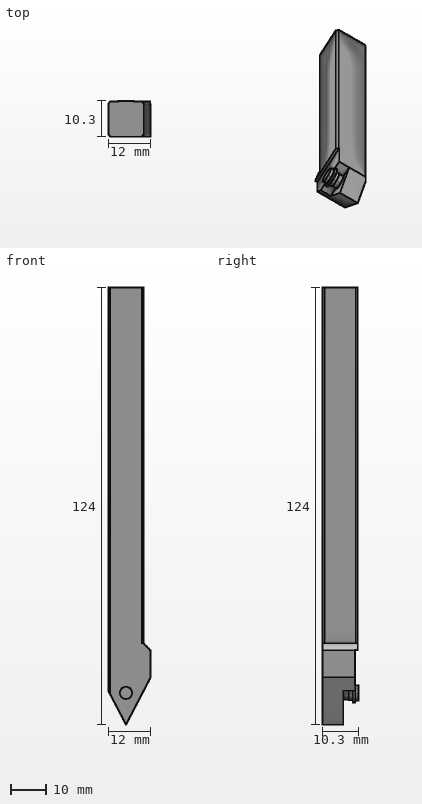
import cadquery as cq
import math

total_length = 124.0
shank_width = 10.0
edge_chamfer = 0.6
nose_width = 12.0
tip_angle = 55.0
shoulder_bottom = 21.1

recess_floor_y = 9.3
recess_top = 21.2
seat_floor_y = 6.0

screw_height = 9.0
screw_end_radius = 1.7
screw_shank_radius = 2.0
screw_neck_radius = 2.1
screw_flange_radius = 2.9
screw_head_radius = 2.2
screw_neck_start_y = 7.4
screw_flange_start_y = 8.5
screw_top_y = 10.3

tip_x = shank_width / 2
flank_slope = 1 / math.tan(math.radians(tip_angle / 2))
left_flank_top = tip_x * flank_slope
right_flank_top = (nose_width - tip_x) * flank_slope
shoulder_top = shoulder_bottom + nose_width - shank_width


def box_between(low, high):
    """Box spanning two opposite corners."""
    size = [end - start for start, end in zip(low, high)]
    return cq.Workplane("XY").box(*size, centered=False).translate(low)


def cylinder_along_y(radius, start_y, end_y):
    """Coaxial cylinder on the screw axis."""
    return cq.Workplane(
        cq.Solid.makeCylinder(
            radius,
            end_y - start_y,
            cq.Vector(tip_x, start_y, screw_height),
            cq.Vector(0, 1, 0),
        )
    )


def make_screw():
    """Stepped clamping screw, flush with the front face."""
    end = cylinder_along_y(screw_end_radius, 0, seat_floor_y)
    shank = cylinder_along_y(screw_shank_radius, seat_floor_y, screw_neck_start_y)
    neck = cylinder_along_y(screw_neck_radius, screw_neck_start_y, screw_flange_start_y)
    flange = cylinder_along_y(screw_flange_radius, screw_flange_start_y, recess_floor_y)
    head = cylinder_along_y(screw_head_radius, recess_floor_y, screw_top_y)
    return end.union(shank).union(neck).union(flange).union(head)


def make_shank_and_nose():
    """Square bar with chamfered long edges and a wider pointed nose."""
    bar = box_between((0, 0, 0), (shank_width, shank_width, total_length))
    bar = bar.edges("|Z").chamfer(edge_chamfer)

    nose = (
        cq.Workplane("XZ")
        .moveTo(tip_x, 0)
        .lineTo(nose_width, 0)
        .lineTo(nose_width, shoulder_bottom)
        .lineTo(shank_width, shoulder_top)
        .lineTo(tip_x, shoulder_top)
        .close()
        .extrude(-shank_width)
    )

    outline = (
        cq.Workplane("XZ")
        .moveTo(tip_x, 0)
        .lineTo(nose_width, right_flank_top)
        .lineTo(nose_width, total_length)
        .lineTo(0, total_length)
        .lineTo(0, left_flank_top)
        .close()
        .extrude(-shank_width)
    )
    return bar.union(nose).intersect(outline)


def make_holder(screw):
    """Bar with the shallow back recess, the tip seat and the screw hole."""
    back_recess = box_between((0, recess_floor_y, 0), (nose_width, shank_width, recess_top))
    tip_seat = box_between((0, seat_floor_y, 0), (nose_width, shank_width, left_flank_top))
    return make_shank_and_nose().cut(back_recess).cut(tip_seat).cut(screw)


screw = make_screw()
holder = make_holder(screw)

result = cq.Compound.makeCompound([holder.solids().val(), screw.solids().val()])